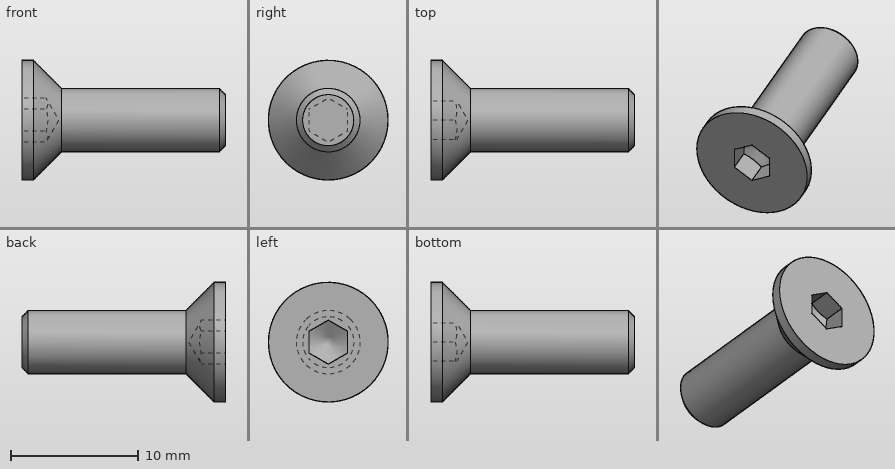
import cadquery as cq
import math

total_length = 16.0
shank_diameter = 5.0
head_diameter = 9.43
head_height = 3.1
tip_diameter = 4.019
socket_across_flats = 3.0
socket_depth = 1.9
socket_cone_angle = 120.0

shank_radius = shank_diameter / 2
head_radius = head_diameter / 2
tip_radius = tip_diameter / 2
countersink_length = head_radius - shank_radius
rim_width = head_height - countersink_length
tip_chamfer = shank_radius - tip_radius

socket_across_corners = socket_across_flats / math.cos(math.radians(30))
socket_corner_radius = socket_across_corners / 2
socket_cone_depth = socket_corner_radius / math.tan(math.radians(socket_cone_angle / 2))


def revolve_about_x(points):
    """Revolve a closed (X, radius) outline around the screw axis."""
    return cq.Workplane("XY").polyline(points).close().revolve(360, (0, 0, 0), (1, 0, 0))


def make_body():
    return revolve_about_x([
        (0, 0),
        (0, head_radius),
        (rim_width, head_radius),
        (head_height, shank_radius),
        (total_length - tip_chamfer, shank_radius),
        (total_length, tip_radius),
        (total_length, 0),
    ])


def make_socket():
    """Hexagonal pocket with corners at +Z and -Z, ending in a cone."""
    hexagon = (
        cq.Workplane("YZ")
        .transformed(rotate=(0, 0, 90))
        .polygon(6, socket_across_corners)
        .extrude(socket_depth + socket_cone_depth)
    )
    drill = revolve_about_x([
        (0, 0),
        (0, socket_corner_radius),
        (socket_depth, socket_corner_radius),
        (socket_depth + socket_cone_depth, 0),
    ])
    return hexagon.intersect(drill)


result = make_body().cut(make_socket())